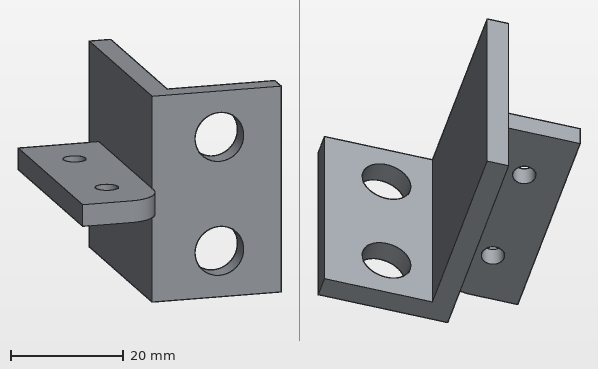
import cadquery as cq

length = 46.0
depth = 39.0
height = 38.0
thickness = 4.0

plate_length = 39.0
flange_hole_diameter = 9.0
flange_hole_spacing = 21.0
flange_hole_to_back_edge = 11.5

shelf_length = 40.0
shelf_depth = 15.0
shelf_corner_radius = 6.0
shelf_hole_diameter = 4.15
shelf_hole_spacing = 20.0
shelf_hole_to_left_end = 10.0

shelf_left = length - shelf_length
plate_front = shelf_depth
flange_left = plate_length - thickness
mid_height = height / 2


def make_angle():
    """L-section upright with two holes through the flange."""
    plate = cq.Workplane("XY").box(plate_length, thickness, height, centered=False)
    plate = plate.translate((0, plate_front, 0))
    flange = cq.Workplane("XY").box(thickness, depth - plate_front, height, centered=False)
    flange = flange.translate((flange_left, plate_front, 0))
    holes = (
        cq.Workplane("YZ", origin=(flange_left, depth - flange_hole_to_back_edge, mid_height))
        .rarray(0.45, flange_hole_spacing, 1, 2)
        .circle(flange_hole_diameter / 2)
        .extrude(thickness)
    )
    return plate.union(flange).cut(holes)


def make_shelf():
    """Flat shelf with one rounded back corner and two vertical holes."""
    bottom = mid_height - thickness / 2
    shelf = cq.Workplane("XY").box(shelf_length, shelf_depth, thickness, centered=False)
    shelf = shelf.edges("|Z and >X and >Y").fillet(shelf_corner_radius)
    holes = (
        cq.Workplane("XY")
        .pushPoints([
            (shelf_hole_to_left_end + i * shelf_hole_spacing, shelf_depth / 2)
            for i in range(2)
        ])
        .circle(shelf_hole_diameter / 2)
        .extrude(thickness)
    )
    return shelf.cut(holes).translate((shelf_left, 0, bottom))


result = make_angle().union(make_shelf())